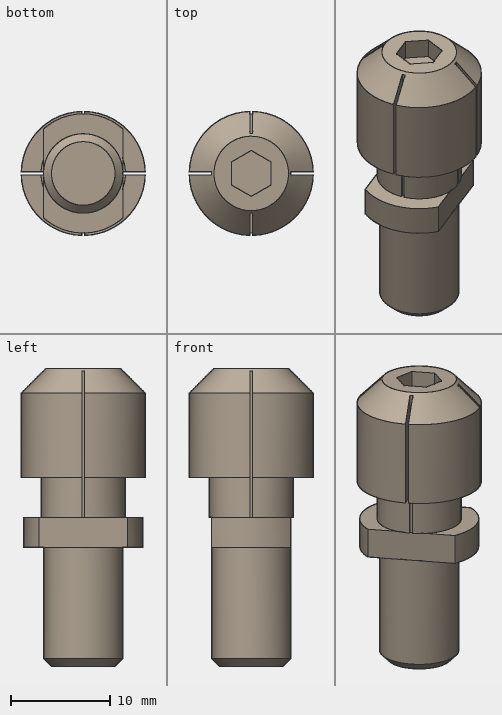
import cadquery as cq
import math

screw_radius = 4.0
overall_length = 30.0
tip_chamfer = 0.8
head_chamfer = 0.25
hex_across_flats = 4.0
hex_depth = 2.0

flange_bottom = 12.0
flange_thickness = 3.0
flange_radius = 6.0
flange_width = 2 * screw_radius

neck_radius = 4.25
neck_length = 4.0
sleeve_radius = 6.25
slit_width = 0.3

flange_top = flange_bottom + flange_thickness
sleeve_bottom = flange_top
neck_top = sleeve_bottom + neck_length
cone_top = overall_length - head_chamfer
cone_bottom = cone_top - (sleeve_radius - screw_radius)


def make_screw():
    """Plain round screw, chamfered at the tip and at the head."""
    screw = cq.Workplane("XY").circle(screw_radius).extrude(overall_length)
    screw = screw.faces("<Z").chamfer(tip_chamfer)
    return screw.faces(">Z").chamfer(head_chamfer)


def make_flange():
    """Disc trimmed by two flats that face -X and +X."""
    disc = cq.Workplane("XY", origin=(0, 0, flange_bottom)).circle(flange_radius).extrude(flange_thickness)
    bar = (
        cq.Workplane("XY", origin=(0, 0, flange_bottom))
        .rect(flange_width, 2 * flange_radius)
        .extrude(flange_thickness)
    )
    return disc.intersect(bar)


def make_sleeve():
    """Revolved sleeve, bored to fit the screw and split into four jaws by two crossing slits."""
    sleeve = (
        cq.Workplane("XZ")
        .moveTo(screw_radius, sleeve_bottom)
        .lineTo(neck_radius, sleeve_bottom)
        .lineTo(neck_radius, neck_top)
        .lineTo(sleeve_radius, neck_top)
        .lineTo(sleeve_radius, cone_bottom)
        .lineTo(screw_radius, cone_top)
        .close()
        .revolve(360, (0, 0, 0), (0, 1, 0))
    )
    slit_length = 2 * sleeve_radius + slit_width
    slit_height = cone_top - sleeve_bottom
    for angle in (0, 90):
        slit = (
            cq.Workplane("XY", origin=(0, 0, sleeve_bottom))
            .rect(slit_length, slit_width)
            .extrude(slit_height)
            .rotate((0, 0, 0), (0, 0, 1), angle)
        )
        sleeve = sleeve.cut(slit)
    return sleeve


def make_hex_socket():
    """Hexagonal socket with two corners on the Y axis."""
    across_corners = hex_across_flats / math.cos(math.pi / 6)
    return (
        cq.Workplane("XY", origin=(0, 0, overall_length - hex_depth))
        .polygon(6, across_corners)
        .extrude(hex_depth)
        .rotate((0, 0, 0), (0, 0, 1), 90)
    )


screw = make_screw().union(make_flange()).cut(make_hex_socket())
result = screw.union(make_sleeve(), clean=False)